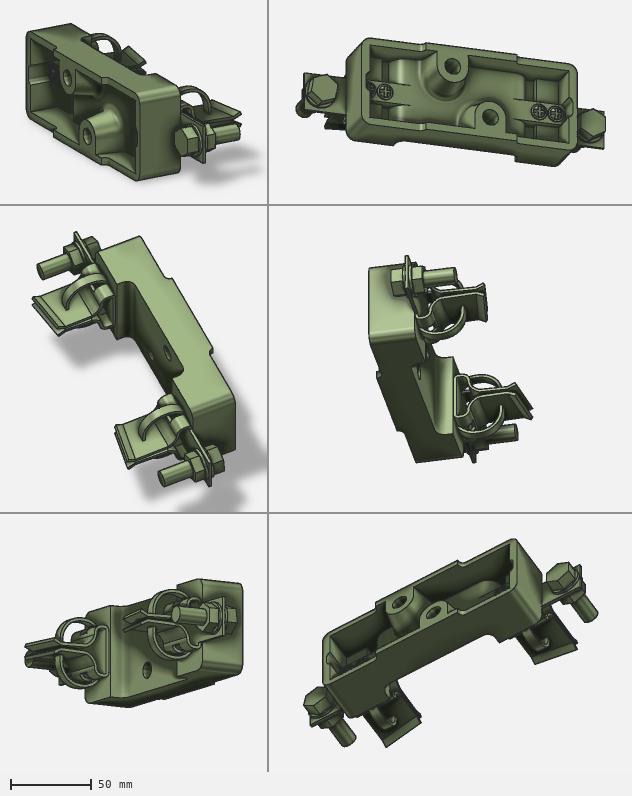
import cadquery as cq
import math

HALF_LENGTH = 71.3
HEIGHT = 58.0
HALF_HEIGHT = HEIGHT / 2
CORNER_RADIUS = 6.3
SADDLE_HALF = 40.2
SADDLE_DEPTH = 10.0
SADDLE_RADIUS = 6.0
RIM_Y = -29.3
FOOT_HALF = 30.0
FOOT_STEP = 4.0
FOOT_RADIUS = 3.8
FOOT_Y = RIM_Y - FOOT_STEP

WALL = 4.8
CAVITY_HALF_LENGTH = 65.7
CAVITY_HALF_HEIGHT = HALF_HEIGHT - WALL
FLOOR_Y = -SADDLE_DEPTH - WALL
RIB_HALF_HEIGHT = 6.7
POCKET_ROOF_Y = -5.0
LEDGE_Y = -9.9
LEDGE_X = 50.9
POCKET_ARC_RADIUS = SADDLE_RADIUS + WALL
GROOVE_DEPTH = 2.5
GROOVE_RADIUS = 4.0

BOSS_X = 12.5
BOSS_Z = 15.0
BOSS_TIP_RADIUS = 10.3
BOSS_DRAFT = math.radians(12)
BOSS_ROOT_FILLET = 4.8
BOSS_HOLE_RADIUS = 5.1
BOSS_HOLE_Z = 15.5

SCREW_POSITIONS = (LEDGE_X, 62.0)
SCREW_RADIUS = 5.1
SCREW_DOME_RADIUS = 4.0
SCREW_RIM = 0.8
SCREW_HEIGHT = 2.5
CROSS_LENGTH = 7.1
CROSS_WIDTH = 2.0
CROSS_DEPTH = 1.8

SHEET = 2.0
STRIP_HALF_HEIGHT = 12.3
LEFT_STRIP_END = -98.6
RIGHT_STRIP_END = 99.2
BOLT_X = 88.7
WASHER_RADIUS = 10.0
WASHER_THICKNESS = 1.8
HEX_CORNERS = 18.8
HEAD_THICKNESS = 7.7
NUT_THICKNESS = 6.5
BOLT_DIAMETER = 10.5
BOLT_TIP_Y = 29.9
LEFT_HEAD_TURN = 10

JAW_INNER_X = 42.0
JAW_OUTER_X = 69.9
BLADE_OUTER_Z = 3.4
BLADE_PINCH = 0.5
BLADE_START_Y = 16.2
LOBE_OUTER_Z = 16.5
LOBE_TOP_Y = 10.7
LOBE_LOW_RADIUS = 3.2
LOBE_HIGH_RADIUS = 5.7
NECK_START_Z = 9.7
NECK_RADIUS = 9.7
FLARE_REACH = 5.5
FLARE_RISE = 2.4
TIP_Y = 44.5
TIP_SLANT = 8.8

RING_X = 56.0
RING_WIDTH = 6.1
RING_CLEARANCE = 0.8
RING_OUTER_Z = 22.0
RING_RADIUS = 15.2
RING_FLAT_START_Y = 12.0
RING_FLAT_END_Y = 13.7


def block(x_range, y_range, z_range):
    """Axis-aligned box between the given limits."""
    (x0, x1), (y0, y1), (z0, z1) = x_range, y_range, z_range
    return cq.Workplane("XY").box(x1 - x0, y1 - y0, z1 - z0, centered=False).translate((x0, y0, z0))


def rod(x, z, radius, y0, y1):
    """Cylinder along Y."""
    return cq.Workplane("XZ", origin=(x, y0, z)).circle(radius).extrude(y0 - y1)


def hexagon(x, y0, y1, turn):
    """Hexagonal prism along Y, its top and bottom corners turned about the axis by the given degrees."""
    prism = cq.Workplane("XZ", origin=(0, y0, 0)).polygon(6, HEX_CORNERS).extrude(y0 - y1)
    return prism.rotate((0, 0, 0), (0, 1, 0), 90 + turn).translate((x, 0, 0))


def both_sides(shape, plane):
    """Shape together with its mirror image."""
    return shape.union(shape.mirror(plane))


def housing_shell():
    half = (
        cq.Workplane("XY", origin=(0, 0, -HALF_HEIGHT))
        .moveTo(0, -SADDLE_DEPTH)
        .lineTo(SADDLE_HALF - SADDLE_RADIUS, -SADDLE_DEPTH)
        .radiusArc((SADDLE_HALF, SADDLE_RADIUS - SADDLE_DEPTH), -SADDLE_RADIUS)
        .lineTo(SADDLE_HALF, 0)
        .lineTo(HALF_LENGTH, 0)
        .lineTo(HALF_LENGTH, RIM_Y)
        .lineTo(FOOT_HALF + FOOT_RADIUS, RIM_Y)
        .radiusArc((FOOT_HALF, RIM_Y - FOOT_RADIUS), -FOOT_RADIUS)
        .lineTo(FOOT_HALF, FOOT_Y)
        .lineTo(0, FOOT_Y)
        .close()
        .extrude(HEIGHT)
    )
    half = half.edges("|Y and >X").fillet(CORNER_RADIUS)
    return both_sides(half, "YZ")


def end_pocket():
    """Deep pocket under the +X pad, above the rib; its inner side follows the saddle's curve."""
    arc_x = SADDLE_HALF - SADDLE_RADIUS
    arc_y = SADDLE_RADIUS - SADDLE_DEPTH
    return (
        cq.Workplane("XY", origin=(0, 0, RIB_HALF_HEIGHT))
        .moveTo(arc_x, FLOOR_Y)
        .radiusArc((arc_x + POCKET_ARC_RADIUS, arc_y), -POCKET_ARC_RADIUS)
        .lineTo(arc_x + POCKET_ARC_RADIUS, POCKET_ROOF_Y)
        .lineTo(LEDGE_X, POCKET_ROOF_Y)
        .lineTo(LEDGE_X, LEDGE_Y)
        .lineTo(CAVITY_HALF_LENGTH, LEDGE_Y)
        .lineTo(CAVITY_HALF_LENGTH, FLOOR_Y)
        .close()
        .extrude(CAVITY_HALF_HEIGHT - RIB_HALF_HEIGHT)
    )


def cavity():
    groove_end = CAVITY_HALF_LENGTH + GROOVE_DEPTH
    main = block(
        (-CAVITY_HALF_LENGTH, CAVITY_HALF_LENGTH), (FOOT_Y, FLOOR_Y), (-CAVITY_HALF_HEIGHT, CAVITY_HALF_HEIGHT)
    )
    grooves = block((-groove_end, groove_end), (FOOT_Y, FLOOR_Y), (-RIB_HALF_HEIGHT, RIB_HALF_HEIGHT))
    grooves = grooves.edges("|Y").fillet(GROOVE_RADIUS)
    pockets = both_sides(both_sides(end_pocket(), "XY"), "YZ")
    return main.union(grooves).union(pockets)


def boss_half_section():
    """Half outline of a boss from its axis to the toe of the root fillet."""
    height = FLOOR_Y - FOOT_Y
    root = BOSS_TIP_RADIUS + height * math.tan(BOSS_DRAFT)
    tangent = BOSS_ROOT_FILLET * math.tan((math.pi / 2 - BOSS_DRAFT) / 2)
    fillet_start = (root - tangent * math.sin(BOSS_DRAFT), FLOOR_Y - tangent * math.cos(BOSS_DRAFT))
    embed_y = (FLOOR_Y - SADDLE_DEPTH) / 2
    return (
        cq.Workplane("XY")
        .moveTo(0, FOOT_Y)
        .lineTo(BOSS_TIP_RADIUS, FOOT_Y)
        .lineTo(*fillet_start)
        .radiusArc((root + tangent, FLOOR_Y), BOSS_ROOT_FILLET)
        .lineTo(root + tangent, embed_y)
        .lineTo(0, embed_y)
        .close()
    )


def boss():
    """Drafted U-shaped boss with a filleted root, running into the +Z wall."""
    wall_reach = CAVITY_HALF_HEIGHT + WALL / 2 - BOSS_Z
    straight = both_sides(boss_half_section().extrude(wall_reach), "YZ")
    round_end = boss_half_section().revolve(180, (0, 0, 0), (0, 1, 0))
    return round_end.union(straight).translate((-BOSS_X, 0, BOSS_Z))


def screw_head(x):
    """Domed head with a cross recess, seated on the tray floor."""
    rim_y = FLOOR_Y - SCREW_RIM
    top_y = FLOOR_Y - SCREW_HEIGHT
    dome_rise = SCREW_HEIGHT - SCREW_RIM
    dome_sphere = (SCREW_DOME_RADIUS**2 + dome_rise**2) / (2 * dome_rise)
    head = (
        cq.Workplane("XY")
        .moveTo(0, FLOOR_Y)
        .lineTo(SCREW_RADIUS, FLOOR_Y)
        .lineTo(SCREW_RADIUS, rim_y)
        .lineTo(SCREW_DOME_RADIUS, rim_y)
        .radiusArc((0, top_y), dome_sphere)
        .close()
        .revolve(360, (0, 0, 0), (0, 1, 0))
    )
    recess = (top_y, top_y + CROSS_DEPTH)
    arm = (-CROSS_LENGTH / 2, CROSS_LENGTH / 2)
    width = (-CROSS_WIDTH / 2, CROSS_WIDTH / 2)
    return head.cut(block(arm, recess, width)).cut(block(width, recess, arm)).translate((x, 0, 0))


def housing():
    body = housing_shell().cut(cavity())
    upper_boss = boss()
    lower_boss = upper_boss.rotate((0, 0, 0), (0, 1, 0), 180)
    body = body.union(upper_boss).union(lower_boss)
    for side in (-1, 1):
        body = body.cut(rod(side * BOSS_X, -side * BOSS_HOLE_Z, BOSS_HOLE_RADIUS, FOOT_Y, 0))
        for x in SCREW_POSITIONS:
            body = body.union(screw_head(side * x))
    return body


def bolt(x, head_turn):
    """Hex bolt through the strip with a washer on each face and a nut on top."""
    low_washer_y = -WASHER_THICKNESS
    nut_y = SHEET + WASHER_THICKNESS
    return (
        rod(x, 0, BOLT_DIAMETER / 2, low_washer_y, BOLT_TIP_Y)
        .union(rod(x, 0, WASHER_RADIUS, low_washer_y, 0))
        .union(rod(x, 0, WASHER_RADIUS, SHEET, nut_y))
        .union(hexagon(x, low_washer_y - HEAD_THICKNESS, low_washer_y, head_turn))
        .union(hexagon(x, nut_y, nut_y + NUT_THICKNESS, 0))
    )


def strip(x0, x1):
    return block((x0, x1), (0, SHEET), (-STRIP_HALF_HEIGHT, STRIP_HALF_HEIGHT))


def lobe():
    """Sheet bulging out from the base and necking in to the blade, upper half."""
    base_z = LOBE_OUTER_Z - LOBE_LOW_RADIUS
    top_z = LOBE_OUTER_Z - LOBE_HIGH_RADIUS
    shoulder_y = LOBE_TOP_Y - LOBE_HIGH_RADIUS
    blade_inner_z = BLADE_OUTER_Z - SHEET
    inner_z = LOBE_OUTER_Z - SHEET
    return (
        cq.Workplane("YZ", origin=(JAW_INNER_X, 0, 0))
        .moveTo(0, base_z)
        .radiusArc((LOBE_LOW_RADIUS, LOBE_OUTER_Z), LOBE_LOW_RADIUS)
        .lineTo(shoulder_y, LOBE_OUTER_Z)
        .radiusArc((LOBE_TOP_Y, top_z), LOBE_HIGH_RADIUS)
        .lineTo(LOBE_TOP_Y, NECK_START_Z)
        .radiusArc((BLADE_START_Y, BLADE_OUTER_Z), -NECK_RADIUS)
        .lineTo(BLADE_START_Y, blade_inner_z)
        .radiusArc((LOBE_TOP_Y - SHEET, NECK_START_Z), NECK_RADIUS + SHEET)
        .lineTo(LOBE_TOP_Y - SHEET, top_z)
        .radiusArc((shoulder_y, inner_z), SHEET - LOBE_HIGH_RADIUS)
        .lineTo(LOBE_LOW_RADIUS, inner_z)
        .radiusArc((SHEET, base_z), SHEET - LOBE_LOW_RADIUS)
        .lineTo(SHEET, 0)
        .lineTo(0, 0)
        .close()
        .extrude(JAW_OUTER_X - JAW_INNER_X)
    )


def blade():
    """Contact blade easing inward to a flared lip whose bend and edge are slanted in plan, upper half."""
    bend_y = TIP_Y - FLARE_REACH
    bend_z = BLADE_OUTER_Z - BLADE_PINCH
    tip_z = bend_z + FLARE_RISE
    lip = (
        cq.Workplane("YZ", origin=(-JAW_OUTER_X, 0, 0))
        .moveTo(0, BLADE_OUTER_Z)
        .lineTo(BLADE_START_Y, BLADE_OUTER_Z)
        .lineTo(bend_y, bend_z)
        .lineTo(TIP_Y - SHEET / 2, tip_z)
        .lineTo(TIP_Y, tip_z - SHEET)
        .lineTo(bend_y, bend_z - SHEET)
        .lineTo(BLADE_START_Y, BLADE_OUTER_Z - SHEET)
        .lineTo(0, BLADE_OUTER_Z - SHEET)
        .close()
        .extrude(2 * JAW_OUTER_X)
    )
    lip = lip.translate((0, -TIP_Y, 0)).rotate((0, 0, 0), (0, 0, 1), TIP_SLANT)
    lip = lip.translate((JAW_OUTER_X, TIP_Y, 0))
    span = block((JAW_INNER_X, JAW_OUTER_X), (BLADE_START_Y, TIP_Y), (0, BLADE_OUTER_Z + FLARE_RISE))
    return lip.intersect(span)


def ring_spring():
    """Curved leaf from the strip around the lobe, pressing square on the blade, upper half."""
    arc_z = RING_OUTER_Z - RING_RADIUS
    crown_y = RING_FLAT_END_Y + RING_RADIUS
    inner_radius = RING_RADIUS - SHEET
    inner_z = RING_OUTER_Z - SHEET
    foot_y = RING_FLAT_START_Y - RING_RADIUS
    leaf = (
        cq.Workplane("YZ", origin=(RING_X - RING_WIDTH / 2, 0, 0))
        .moveTo(foot_y, arc_z)
        .radiusArc((RING_FLAT_START_Y, RING_OUTER_Z), RING_RADIUS)
        .lineTo(RING_FLAT_END_Y, RING_OUTER_Z)
        .radiusArc((crown_y, arc_z), RING_RADIUS)
        .lineTo(crown_y, BLADE_OUTER_Z - SHEET / 2)
        .lineTo(crown_y - SHEET, BLADE_OUTER_Z - SHEET / 2)
        .lineTo(crown_y - SHEET, arc_z)
        .radiusArc((RING_FLAT_END_Y, inner_z), -inner_radius)
        .lineTo(RING_FLAT_START_Y, inner_z)
        .radiusArc((foot_y + SHEET, arc_z), -inner_radius)
        .close()
        .extrude(RING_WIDTH)
    )
    above_pad = block((0, HALF_LENGTH), (0, crown_y), (0, RING_OUTER_Z))
    return leaf.intersect(above_pad)


def jaw():
    """Complete contact jaw on the +X pad."""
    window_half = RING_WIDTH / 2 + RING_CLEARANCE
    window = block(
        (RING_X - window_half, RING_X + window_half), (0, LOBE_TOP_Y), (STRIP_HALF_HEIGHT, LOBE_OUTER_Z)
    )
    upper = lobe().cut(window).union(blade()).union(ring_spring())
    return both_sides(upper, "XY")


right_jaw = jaw()
result = (
    housing()
    .union(strip(LEFT_STRIP_END, -JAW_INNER_X))
    .union(strip(JAW_INNER_X, RIGHT_STRIP_END))
    .union(both_sides(right_jaw, "YZ"))
    .union(bolt(-BOLT_X, LEFT_HEAD_TURN))
    .union(bolt(BOLT_X, 0))
)